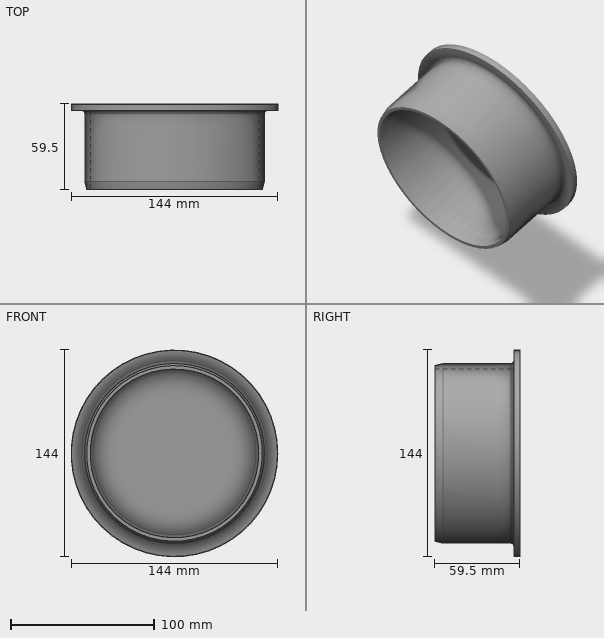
import cadquery as cq

flange_diameter = 144.0
flange_thickness = 4.5
total_length = 59.5

tube_outer_diameter = 125.3
tube_inner_diameter = 117.5
floor_thickness = flange_thickness

rim_outer_diameter = 122.4
rim_taper_length = 5.8

flange_fillet = 2.0
floor_fillet = 2.0

flange_radius = flange_diameter / 2
outer_radius = tube_outer_diameter / 2
inner_radius = tube_inner_diameter / 2
rim_radius = rim_outer_diameter / 2

flange_face = total_length - flange_thickness
floor_face = total_length - floor_thickness


def fillet_midpoint(center_x, center_y, radius, x_side):
    """Midpoint of a quarter-round lying on the +Y side of its centre."""
    reach = radius * 0.5 ** 0.5
    return (center_x + x_side * reach, center_y + reach)


section = (
    cq.Workplane("XY")
    .moveTo(0, total_length)
    .lineTo(flange_radius, total_length)
    .lineTo(flange_radius, flange_face)
    .lineTo(outer_radius + flange_fillet, flange_face)
    .threePointArc(
        fillet_midpoint(outer_radius + flange_fillet, flange_face - flange_fillet, flange_fillet, -1),
        (outer_radius, flange_face - flange_fillet),
    )
    .lineTo(outer_radius, rim_taper_length)
    .lineTo(rim_radius, 0)
    .lineTo(inner_radius, 0)
    .lineTo(inner_radius, floor_face - floor_fillet)
    .threePointArc(
        fillet_midpoint(inner_radius - floor_fillet, floor_face - floor_fillet, floor_fillet, 1),
        (inner_radius - floor_fillet, floor_face),
    )
    .lineTo(0, floor_face)
    .close()
)

result = section.revolve(360, (0, 0, 0), (0, 1, 0))